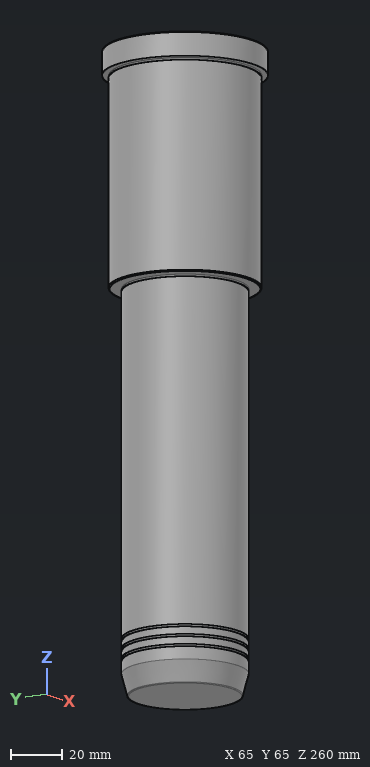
import cadquery as cq
import math

HEAD_DIAMETER = 65.0
COLLAR_DIAMETER = 60.0
SHANK_DIAMETER = 50.0

TOTAL_LENGTH = 260.0
HEAD_HEIGHT = 10.0
COLLAR_LENGTH = 86.0

TIP_HEIGHT = 9.0
TIP_HALF_ANGLE = 15.0

RIM_CHAMFER = 0.5
TIP_ROUNDING = 0.5

GROOVE_WIDTH = 1.0
GROOVE_FLOOR_WIDTH = 0.02
TIP_GROOVE_COUNT = 3
TIP_GROOVE_PITCH = 4.0
LOWEST_TIP_GROOVE_Z = 14.5

GROOVE_FLANK_RADIUS = (GROOVE_WIDTH - GROOVE_FLOOR_WIDTH) / 2
HEAD_BOTTOM_Z = TOTAL_LENGTH - HEAD_HEIGHT
COLLAR_BOTTOM_Z = HEAD_BOTTOM_Z - COLLAR_LENGTH
SHANK_RADIUS = SHANK_DIAMETER / 2
TIP_RADIUS = SHANK_RADIUS - TIP_HEIGHT * math.tan(math.radians(TIP_HALF_ANGLE))


def cylinder(diameter, bottom_z, top_z):
    """Solid cylinder on the Z axis between two heights."""
    return cq.Workplane("XY").workplane(offset=bottom_z).circle(diameter / 2).extrude(top_z - bottom_z)


def revolve_about_z(profile):
    """Full turn about Z of a profile drawn with X as radius and Y as height."""
    return profile.revolve(360, (0, 0, 0), (0, 1, 0))


def make_head():
    head = cylinder(HEAD_DIAMETER, HEAD_BOTTOM_Z, TOTAL_LENGTH)
    return head.faces(">Z").edges().chamfer(RIM_CHAMFER)


def make_collar():
    collar = cylinder(COLLAR_DIAMETER, COLLAR_BOTTOM_Z, HEAD_BOTTOM_Z)
    return collar.faces("<Z").edges().chamfer(RIM_CHAMFER)


def make_shank():
    """Shank with a conical tip and a rounded end rim."""
    profile = (
        cq.Workplane("XZ")
        .lineTo(TIP_RADIUS, 0)
        .lineTo(SHANK_RADIUS, TIP_HEIGHT)
        .lineTo(SHANK_RADIUS, COLLAR_BOTTOM_Z)
        .lineTo(0, COLLAR_BOTTOM_Z)
        .close()
    )
    return revolve_about_z(profile).faces("<Z").edges().fillet(TIP_ROUNDING)


def groove_ring(diameter, centre_z):
    """Cutter for a groove with quarter-round flanks on either side of a narrow floor."""
    surface = diameter / 2
    floor = surface - GROOVE_FLANK_RADIUS
    outside = surface + GROOVE_FLANK_RADIUS
    bottom_z = centre_z - GROOVE_WIDTH / 2
    top_z = centre_z + GROOVE_WIDTH / 2
    lower_arc_z = bottom_z + GROOVE_FLANK_RADIUS
    upper_arc_z = top_z - GROOVE_FLANK_RADIUS
    diagonal = GROOVE_FLANK_RADIUS * math.sqrt(0.5)
    profile = (
        cq.Workplane("XZ")
        .moveTo(surface, bottom_z)
        .threePointArc((surface - diagonal, lower_arc_z - diagonal), (floor, lower_arc_z))
        .lineTo(floor, upper_arc_z)
        .threePointArc((surface - diagonal, upper_arc_z + diagonal), (surface, top_z))
        .lineTo(outside, top_z)
        .lineTo(outside, bottom_z)
        .close()
    )
    return revolve_about_z(profile)


def grooved_shank():
    shank = make_shank()
    for index in range(TIP_GROOVE_COUNT):
        centre_z = LOWEST_TIP_GROOVE_Z + index * TIP_GROOVE_PITCH
        shank = shank.cut(groove_ring(SHANK_DIAMETER, centre_z))
    return shank.cut(groove_ring(SHANK_DIAMETER, COLLAR_BOTTOM_Z - GROOVE_WIDTH / 2))


def grooved_collar():
    return make_collar().cut(groove_ring(COLLAR_DIAMETER, HEAD_BOTTOM_Z - GROOVE_WIDTH / 2))


result = grooved_shank().union(grooved_collar()).union(make_head())